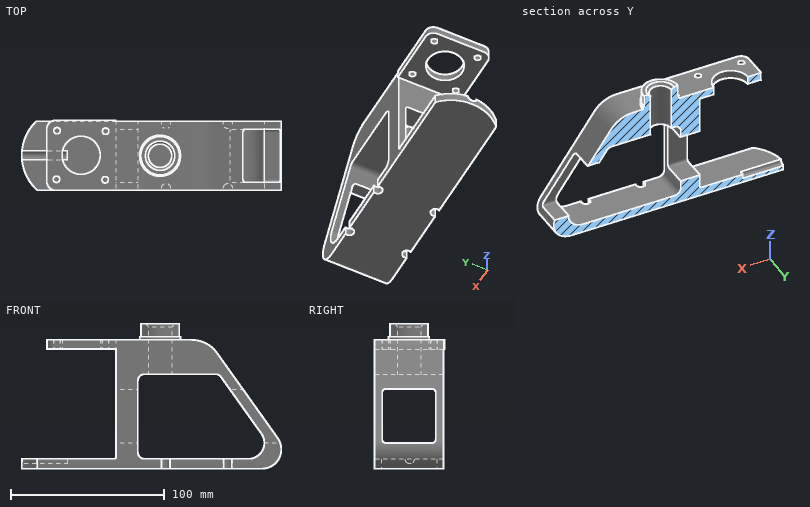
import cadquery as cq
import math

length = 169.1
frame_width = 45.0
half_width = frame_width / 2
frame_top = 84.0
foot_thickness = 6.6
shelf_thickness = 6.1
column_x = 61.4
foot_fillet = 1.0

shoulder_radius = 20.1
shoulder_x = 110.8
nose_radius = 12.7
nose_x = length - nose_radius

opening_left = 75.8
opening_top = 61.5
opening_nose_x = 147.7
opening_nose_radius = 10.3
opening_corner_radius = 4.2

tunnel_width = 34.7
tunnel_bottom = 16.9
tunnel_top = 52.0
tunnel_radius = 2.2

axis_y = 0.3
shelf_left = 16.4
shelf_overhang = 0.7
shelf_corner_radius = 5.8
shelf_hole_x = 38.7
shelf_hole_diameter = 24.9
screw_pitch = 31.6
screw_diameter = 4.2
screw_pattern_turn = -0.6
foot_end_radius = 30.6
groove_radius = 3.0
groove_length = 29.8

notch_diameter = 6.1
notch_inset = 1.5
notch_positions = (93.9, 134.1)

boss_x = 90.2
flange_diameter = 26.7
flange_height = 2.0
boss_diameter = 25.0
boss_top = 94.5
bore_diameter = 15.2
bore_mouth_diameter = 19.1

shoulder_z = frame_top - shoulder_radius
center_dx = nose_x - shoulder_x
center_dz = nose_radius - shoulder_z
normal_angle = math.atan2(center_dz, center_dx) + math.acos(
    (shoulder_radius - nose_radius) / math.hypot(center_dx, center_dz)
)


def point_on_arc(center_x, center_z, radius, angle):
    return center_x + radius * math.cos(angle), center_z + radius * math.sin(angle)


def across_y(profile, width):
    """Extrude an XZ profile symmetrically about the mid plane."""
    return profile.extrude(width / 2, both=True)


def make_frame():
    """Outer side profile: foot, column, shelf, shoulder, slope and nose."""
    shelf_underside = frame_top - shelf_thickness
    shoulder_mid_angle = (math.pi / 2 + normal_angle) / 2
    nose_mid_angle = (normal_angle - math.pi / 2) / 2
    profile = (
        cq.Workplane("XZ")
        .moveTo(0, 0)
        .lineTo(nose_x, 0)
        .threePointArc(
            point_on_arc(nose_x, nose_radius, nose_radius, nose_mid_angle),
            point_on_arc(nose_x, nose_radius, nose_radius, normal_angle),
        )
        .lineTo(*point_on_arc(shoulder_x, shoulder_z, shoulder_radius, normal_angle))
        .threePointArc(
            point_on_arc(shoulder_x, shoulder_z, shoulder_radius, shoulder_mid_angle),
            (shoulder_x, frame_top),
        )
        .lineTo(column_x, frame_top)
        .lineTo(column_x, foot_thickness + foot_fillet)
        .radiusArc((column_x - foot_fillet, foot_thickness), foot_fillet)
        .lineTo(0, foot_thickness)
        .close()
    )
    frame = across_y(profile, frame_width)
    shelf = (
        cq.Workplane("XY", origin=(0, 0, shelf_underside))
        .moveTo(shelf_left, -half_width)
        .lineTo(column_x, -half_width)
        .lineTo(column_x, half_width + shelf_overhang)
        .lineTo(shelf_left, half_width + shelf_overhang)
        .close()
        .extrude(shelf_thickness)
        .edges("|Z and <X")
        .fillet(shelf_corner_radius)
    )
    return frame.union(shelf)


def make_opening():
    """Side opening: square at the column, parallel to the slope at the nose."""
    nose_z = foot_thickness + opening_nose_radius
    tangent = point_on_arc(opening_nose_x, nose_z, opening_nose_radius, normal_angle)
    slope_run = math.tan(normal_angle)
    top_right = tangent[0] - (opening_top - tangent[1]) * slope_run
    mid_angle = (normal_angle - math.pi / 2) / 2
    profile = (
        cq.Workplane("XZ")
        .moveTo(opening_left, foot_thickness)
        .lineTo(opening_nose_x, foot_thickness)
        .threePointArc(
            point_on_arc(opening_nose_x, nose_z, opening_nose_radius, mid_angle),
            tangent,
        )
        .lineTo(top_right, opening_top)
        .lineTo(opening_left, opening_top)
        .close()
    )
    opening = across_y(profile, frame_width)
    return opening.edges("(|Y and <X) or (|Y and >Z)").fillet(opening_corner_radius)


def make_tunnel():
    height = tunnel_top - tunnel_bottom
    return (
        cq.Workplane("XY")
        .box(length - column_x, tunnel_width, height, centered=(False, True, False))
        .edges("|X")
        .fillet(tunnel_radius)
        .translate((column_x, 0, tunnel_bottom))
    )


def make_foot_trim():
    """Material beyond the large arc that rounds the foot's free end."""
    block = cq.Workplane("XY").box(
        foot_end_radius, 2 * foot_end_radius, foot_thickness, centered=(False, True, False)
    )
    disc = (
        cq.Workplane("XY")
        .center(foot_end_radius, axis_y)
        .circle(foot_end_radius)
        .extrude(foot_thickness)
    )
    return block.cut(disc)


def make_groove():
    """Half-round groove along the top of the foot."""
    return (
        cq.Workplane("YZ")
        .center(axis_y, foot_thickness)
        .circle(groove_radius)
        .extrude(groove_length)
    )


def make_shelf_holes():
    """Large hole with four screw holes on a slightly turned square."""
    plane = cq.Workplane("XY", origin=(0, 0, frame_top - shelf_thickness))
    main_hole = plane.center(shelf_hole_x, axis_y).circle(shelf_hole_diameter / 2)
    screws = (
        cq.Workplane("XY")
        .rect(screw_pitch, screw_pitch, forConstruction=True)
        .vertices()
        .circle(screw_diameter / 2)
        .extrude(shelf_thickness)
        .rotate((0, 0, 0), (0, 0, 1), screw_pattern_turn)
        .translate((shelf_hole_x, axis_y, frame_top - shelf_thickness))
    )
    return main_hole.extrude(shelf_thickness).union(screws)


def make_notches():
    notch_y = half_width - notch_inset
    centers = [(x, side * notch_y) for x in notch_positions for side in (-1, 1)]
    return (
        cq.Workplane("XY")
        .pushPoints(centers)
        .circle(notch_diameter / 2)
        .extrude(foot_thickness)
    )


def make_boss():
    top_plane = cq.Workplane("XY", origin=(boss_x, 0, frame_top))
    flange = top_plane.circle(flange_diameter / 2).extrude(flange_height)
    return flange.union(top_plane.circle(boss_diameter / 2).extrude(boss_top - frame_top))


def make_bore():
    """Bore from the boss into the side opening, with a 45 degree mouth."""
    mouth_depth = (bore_mouth_diameter - bore_diameter) / 2
    return (
        cq.Workplane("XZ")
        .polyline([
            (0, opening_top),
            (bore_diameter / 2, opening_top),
            (bore_diameter / 2, boss_top - mouth_depth),
            (bore_mouth_diameter / 2, boss_top),
            (0, boss_top),
        ])
        .close()
        .revolve(360, (0, 0, 0), (0, 1, 0))
        .translate((boss_x, 0, 0))
    )


result = (
    make_frame()
    .union(make_boss())
    .cut(make_opening())
    .cut(make_tunnel())
    .cut(make_foot_trim())
    .cut(make_groove())
    .cut(make_shelf_holes())
    .cut(make_notches())
    .cut(make_bore())
)